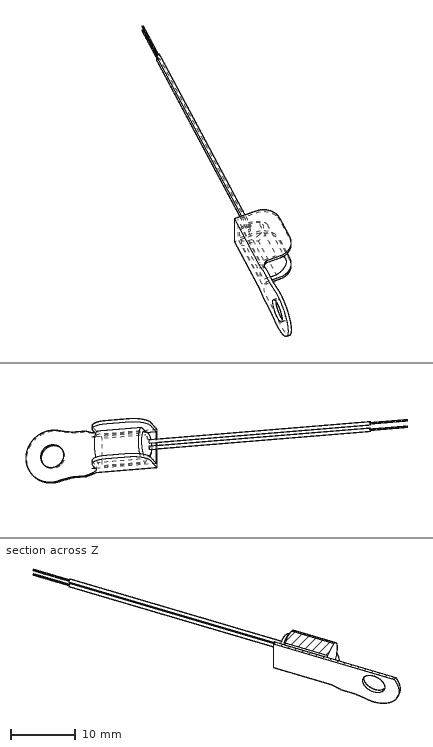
import cadquery as cq
import math

length = 61.8
lug_diameter = 8.45
lug_hole_diameter = 3.7
lug_x = length - lug_diameter / 2

sheet = 0.55
channel_x = 40.85
channel_length = 9.3
channel_width = 6.25
channel_height = 6.5
wall_corner_radius = 2.8
channel_end_x = channel_x + channel_length
inner_half_width = channel_width / 2 - sheet

flare_start_x = 50.55
flare_end_x = 52.2
neck_end_x = 54.35
neck_width = 7.3
neck_joint_angle = math.radians(110)

web_length = 1.55
web_height = 0.8

core_y = 2.2

potting_diameter = 5.55
shoulder_depth = 1.05
dome_flat_radius = 1.25
dome_mid_depth = 0.2
dome_mid_radius = 1.85
dome_depth = 0.7
dome_radius = 2.15
potting_inset = 0.6
potting_x = channel_x + potting_inset
potting_length = channel_length - 2 * potting_inset

conductor_diameter = 0.25
insulation_diameter = 0.56
stripped_length = 6.0
wire_pitch = 1.05


def make_plate():
    """Flat plate with a flared neck and a round, drilled lug."""
    half_channel = channel_width / 2
    half_neck = neck_width / 2
    lug_radius = lug_diameter / 2
    joint_x = lug_x + lug_radius * math.cos(neck_joint_angle)
    joint_z = lug_radius * math.sin(neck_joint_angle)
    return (
        cq.Workplane("XZ")
        .moveTo(channel_x, -half_channel)
        .lineTo(channel_x, half_channel)
        .lineTo(flare_start_x, half_channel)
        .lineTo(flare_end_x, half_neck)
        .lineTo(neck_end_x, half_neck)
        .lineTo(joint_x, joint_z)
        .threePointArc((length, 0), (joint_x, -joint_z))
        .lineTo(neck_end_x, -half_neck)
        .lineTo(flare_end_x, -half_neck)
        .lineTo(flare_start_x, -half_channel)
        .close()
        .extrude(-channel_height)
        .cut(
            cq.Workplane("XZ")
            .center(lug_x, 0)
            .circle(lug_hole_diameter / 2)
            .extrude(-channel_height)
        )
    )


def make_side_profile():
    """Profile of walls, webs and plate, extruded across the full width."""
    walls = (
        cq.Workplane("XY")
        .box(channel_length, channel_height, lug_diameter, centered=(False, False, True))
        .translate((channel_x, 0, 0))
        .edges("|Z and >Y")
        .fillet(wall_corner_radius)
    )
    base = (
        cq.Workplane("XY")
        .box(length - channel_x, sheet, lug_diameter, centered=(False, False, True))
        .translate((channel_x, 0, 0))
    )
    web_top = sheet + web_height
    web_end_x = channel_end_x + web_length
    web_mid = (
        web_end_x - web_length * math.cos(math.pi / 4),
        web_top - web_height * math.sin(math.pi / 4),
    )
    webs = (
        cq.Workplane("XY")
        .moveTo(channel_end_x, 0)
        .lineTo(channel_end_x, web_top)
        .threePointArc(web_mid, (web_end_x, sheet))
        .lineTo(web_end_x, 0)
        .close()
        .extrude(lug_diameter / 2, both=True)
    )
    return walls.union(base).union(webs)


def make_channel_space():
    """Space between the walls, above the plate."""
    return (
        cq.Workplane("XY")
        .box(length, channel_height, 2 * inner_half_width, centered=(False, False, True))
        .translate((0, sheet, 0))
    )


def make_potting():
    """Turned body with a domed front and sloped shoulder, trimmed by the channel."""
    return (
        cq.Workplane("XY", origin=(potting_x, core_y, 0))
        .lineTo(0, dome_flat_radius)
        .threePointArc((dome_mid_depth, dome_mid_radius), (dome_depth, dome_radius))
        .lineTo(shoulder_depth, potting_diameter / 2)
        .lineTo(potting_length, potting_diameter / 2)
        .lineTo(potting_length, 0)
        .close()
        .revolve(360, (0, 0, 0), (1, 0, 0))
        .intersect(make_channel_space())
    )


def make_housing():
    """Bracket and potting as one solid."""
    bracket = make_plate().intersect(make_side_profile()).cut(make_channel_space())
    return bracket.union(make_potting())


def make_wire(z):
    """Stripped conductor and insulation, ending at the potting face."""
    conductor = (
        cq.Workplane("YZ", origin=(0, core_y, z))
        .circle(conductor_diameter / 2)
        .extrude(stripped_length)
    )
    insulation = (
        cq.Workplane("YZ", origin=(stripped_length, core_y, z))
        .circle(insulation_diameter / 2)
        .extrude(potting_x - stripped_length)
    )
    return conductor.union(insulation)


housing = make_housing()
wires = [make_wire(side * wire_pitch / 2) for side in (-1, 1)]

result = cq.Compound.makeCompound([housing.val(), *[wire.val() for wire in wires]])